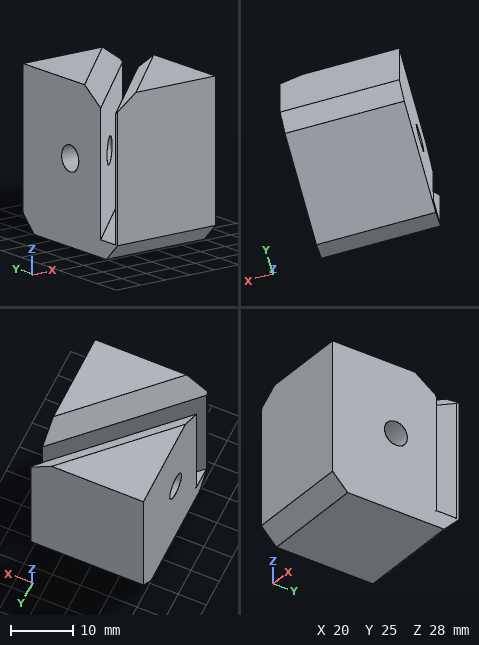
import cadquery as cq
import math

length_x = 20.0
width_y = 25.0
height = 28.0
edge_chamfer = 3.0

slot_width = 2.8
slot_floor_height = 3.0
slot_angle = 45.0
mouth_chamfer = 3.0
slot_length = 2 * math.hypot(length_x, width_y)

hole_diameter = 4.5
hole_height = 14.85


def make_block():
    """Block centred in X and Y, with its two long bottom edges chamfered."""
    block = cq.Workplane("XY").box(length_x, width_y, height, centered=(True, True, False))
    return block.faces("<Z").edges("|X").chamfer(edge_chamfer)


def make_slot():
    """Straight-walled slot with a 45 degree flared mouth, turned to the block diagonal."""
    half_width = slot_width / 2
    half_mouth = half_width + mouth_chamfer
    flare_start = height - mouth_chamfer
    profile = [
        (-half_width, slot_floor_height),
        (half_width, slot_floor_height),
        (half_width, flare_start),
        (half_mouth, height),
        (-half_mouth, height),
        (-half_width, flare_start),
    ]
    slot = cq.Workplane("YZ").polyline(profile).close().extrude(slot_length / 2, both=True)
    return slot.rotate((0, 0, 0), (0, 0, 1), slot_angle)


def make_hole():
    """Round hole running through the whole block along X."""
    hole = cq.Workplane("YZ").center(0, hole_height).circle(hole_diameter / 2)
    return hole.extrude(length_x, both=True)


result = make_block().cut(make_slot()).cut(make_hole())